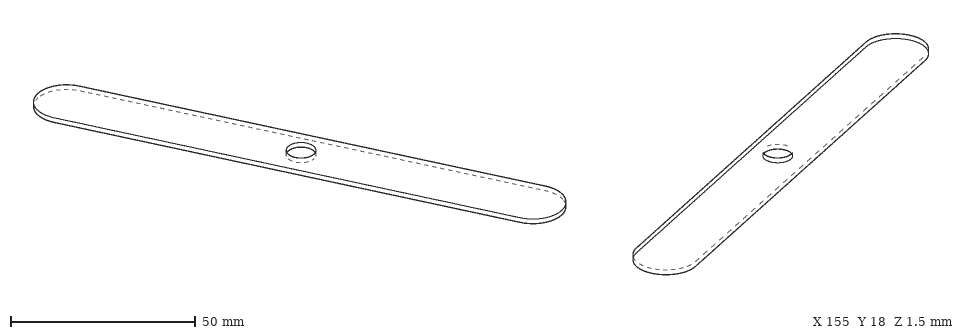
import cadquery as cq

length = 155.0
width = 18.0
thickness = 1.5

hole_diameter = 8.0
hole_offset_y = 1.0

strip = cq.Workplane("XY").slot2D(length, width).extrude(thickness)

hole = (
    cq.Workplane("XY")
    .center(0, hole_offset_y)
    .circle(hole_diameter / 2)
    .extrude(thickness)
)

result = strip.cut(hole)